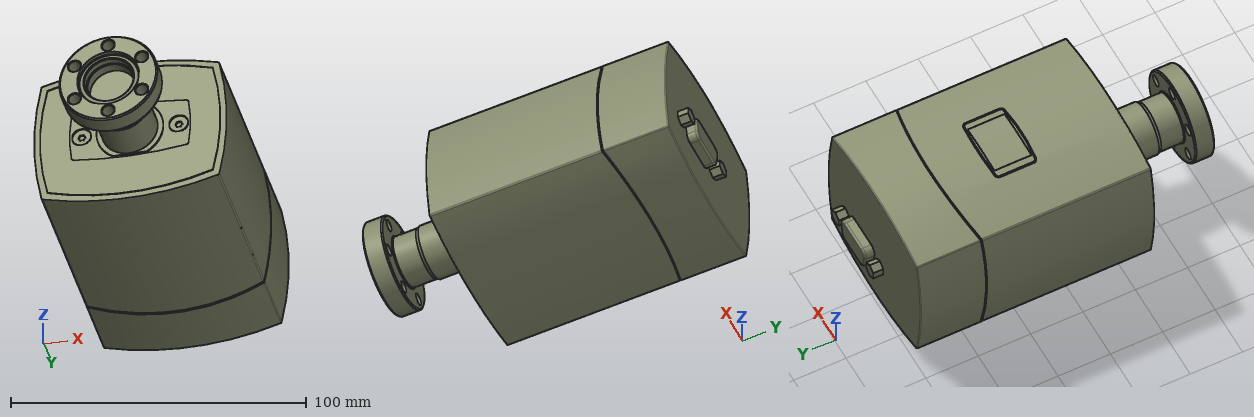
import cadquery as cq
import math

overall_length = 125.1

flange_radius = 17.1
flange_thickness = 7.5
flange_chamfer = 0.5
neck_radius = 9.3
neck_flare = 0.4
tube_radius = 9.8
step_front = 16.4
step_length = 1.1
bolt_count = 6
bolt_hole_diameter = 4.3
bolt_circle_radius = 13.5
bolt_hole_chamfer = 0.3
seal_recess_radius = 10.8
seal_recess_depth = 1.5
knife_base_radius = 10.3
knife_tip_radius = 8.9
knife_height = 0.5
bore_radius = 17.1 / 2
bore_step_depth = 3.8
inner_bore_radius = 16.0 / 2
bore_depth = 7.5

plate_half_width = 21.0
plate_half_height = 10.6
plate_corner_x = 20.3
plate_corner_z = 9.1
plate_corner_fillet = 1.0
plate_thickness = 2.5
collar_radius = 11.6
collar_half_height = 10.0
collar_thickness = 0.4
screw_offset = 16.9
screw_recess_diameter = 6.6
screw_recess_depth = 0.5
socket_across_corners = 2.5
socket_depth = 0.6

shell_front = 31.8
shell_half_width = 33.5
housing_half_height = 27.8
cap_half_height = 28.0
corner_x = 30.9
corner_z = 23.3
housing_corner_fillet = 0.8
cap_corner_fillet = 0.5
panel_inset = 2.1
panel_height = 0.4
panel_front = shell_front - panel_height
cap_back = 121.2
cap_back_fillet = 0.4
seam_middle_y = 100.3
seam_side_y = 96.0
seam_gap_width = 0.4
seam_gap_depth = 0.3

window_half_width = 12.8
window_front = 65.5
window_back = 81.1
window_bow = 0.8
window_corner_fillet = 1.5
window_groove_width = 0.4
window_groove_depth = 0.3
label_half_width = 9.8
label_front = 66.3
label_back = 80.5
label_depth = 0.1

connector_x = 8.4
connector_z = -8.3
connector_width = 18.4
connector_height = 9.5
connector_side_angle = 10.0
connector_corner_fillet = 2.6
connector_edge_fillet = 0.8
jackscrew_spacing = 25.0
jackscrew_across_flats = 5.1


def y_plane(y):
    """Sketch plane across Y facing the flange end; negative extrusions run towards the back."""
    return cq.Workplane(cq.Plane(origin=(0, y, 0), xDir=(1, 0, 0), normal=(0, -1, 0)))


def bowed_outline(y, half_width, half_height, side_x, side_z):
    """Rectangle-like outline with four outward bowed sides, and corners at (side_x, side_z)."""
    return (
        y_plane(y)
        .moveTo(-side_x, side_z)
        .threePointArc((0, half_height), (side_x, side_z))
        .threePointArc((half_width, 0), (side_x, -side_z))
        .threePointArc((0, -half_height), (-side_x, -side_z))
        .threePointArc((-half_width, 0), (-side_x, side_z))
        .close()
    )


def shell_block(half_height, corner_fillet, inset=0):
    """Full-length block from the shell front to the cap back, shrunk all round by inset."""
    block = bowed_outline(
        shell_front, shell_half_width - inset, half_height - inset, corner_x - inset, corner_z - inset
    ).extrude(shell_front - cap_back)
    return block.edges("|Y").fillet(corner_fillet)


def behind_seam(shift=0):
    """Everything behind the curved seam between the housing and the cap, moved along Y by shift."""
    reach = 2 * shell_half_width
    sagitta = seam_middle_y - seam_side_y
    seam_radius = (shell_half_width**2 + sagitta**2) / (2 * sagitta)
    seam_end_y = seam_middle_y - seam_radius + math.sqrt(seam_radius**2 - reach**2)
    return (
        cq.Workplane("XY", origin=(0, shift, -shell_half_width))
        .moveTo(-reach, seam_end_y)
        .threePointArc((0, seam_middle_y), (reach, seam_end_y))
        .lineTo(reach, 2 * overall_length)
        .lineTo(-reach, 2 * overall_length)
        .close()
        .extrude(2 * shell_half_width)
    )


def plate_blank():
    """Solid mounting plate, also the shape of its pocket in the housing."""
    blank = bowed_outline(
        panel_front, plate_half_width, plate_half_height, plate_corner_x, plate_corner_z
    ).extrude(-plate_thickness)
    return blank.edges("|Y").fillet(plate_corner_fillet)


def window_prism(inset):
    half_width = window_half_width - inset
    front = window_front + inset
    back = window_back - inset
    return (
        cq.Workplane("XY")
        .moveTo(-half_width, front)
        .threePointArc((0, front - window_bow), (half_width, front))
        .lineTo(half_width, back)
        .threePointArc((0, back + window_bow), (-half_width, back))
        .close()
        .extrude(shell_half_width)
        .edges("|Z")
        .fillet(window_corner_fillet - inset)
    )


def label_prism():
    return (
        cq.Workplane("XY")
        .center(0, (label_front + label_back) / 2)
        .rect(2 * label_half_width, label_back - label_front)
        .extrude(shell_half_width)
    )


def make_housing():
    block = shell_block(housing_half_height, housing_corner_fillet)
    groove_ring = window_prism(0).cut(window_prism(window_groove_width))
    groove = groove_ring.cut(block.translate((0, 0, -window_groove_depth)))
    label = label_prism().cut(block.translate((0, 0, -label_depth)))
    gap_floor = shell_block(housing_half_height, housing_corner_fillet, seam_gap_depth)
    seam_gap = block.cut(gap_floor).intersect(behind_seam(-seam_gap_width))
    housing = block.cut(groove).cut(label).cut(seam_gap)

    panel = bowed_outline(
        panel_front,
        shell_half_width - panel_inset,
        housing_half_height - panel_inset,
        corner_x - panel_inset,
        corner_z - panel_inset,
    ).extrude(-panel_height)
    return housing.union(panel).cut(behind_seam()).cut(plate_blank())


def make_connector():
    taper = connector_height * math.tan(math.radians(connector_side_angle))
    half_width = connector_width / 2
    half_height = connector_height / 2
    shell = (
        y_plane(cap_back)
        .center(connector_x, connector_z)
        .moveTo(-half_width, half_height)
        .lineTo(half_width, half_height)
        .lineTo(half_width - taper, -half_height)
        .lineTo(-half_width + taper, -half_height)
        .close()
        .extrude(cap_back - overall_length)
        .edges("|Y")
        .fillet(connector_corner_fillet)
    )
    return shell.faces(">Y").edges().fillet(connector_edge_fillet)


def make_jackscrew(x):
    across_corners = jackscrew_across_flats / math.cos(math.radians(30))
    hexagon = cq.Workplane("XY").polygon(6, across_corners).extrude(overall_length - cap_back)
    upright = hexagon.rotate((0, 0, 0), (0, 0, 1), 30).rotate((0, 0, 0), (1, 0, 0), -90)
    return upright.translate((x, cap_back, connector_z))


def make_cap():
    block = shell_block(cap_half_height, cap_corner_fillet)
    cap = block.faces(">Y").edges().fillet(cap_back_fillet).intersect(behind_seam())
    cap = cap.union(make_connector())
    for side in (-1, 1):
        cap = cap.union(make_jackscrew(connector_x + side * jackscrew_spacing / 2))
    return cap


def make_flanged_tube():
    """Flange, stepped tube and blind stepped bore, turned about the Y axis."""
    step_back = step_front + step_length
    knife_tip_depth = seal_recess_depth - knife_height
    lip_chamfer = knife_tip_radius - bore_radius
    profile = [
        (0, bore_depth),
        (inner_bore_radius, bore_depth),
        (inner_bore_radius, bore_step_depth),
        (bore_radius, bore_step_depth),
        (bore_radius, knife_tip_depth + lip_chamfer),
        (knife_tip_radius, knife_tip_depth),
        (knife_base_radius, seal_recess_depth),
        (seal_recess_radius, seal_recess_depth),
        (seal_recess_radius, 0),
        (flange_radius - flange_chamfer, 0),
        (flange_radius, flange_chamfer),
        (flange_radius, flange_thickness - flange_chamfer),
        (flange_radius - flange_chamfer, flange_thickness),
        (neck_radius + neck_flare, flange_thickness),
        (neck_radius, flange_thickness + neck_flare),
        (neck_radius, step_front),
        (tube_radius, step_back),
        (tube_radius, panel_front),
        (0, panel_front),
    ]
    tube = cq.Workplane("XY").polyline(profile).close().revolve(360, (0, 0, 0), (0, 1, 0))
    bolt_hole = y_plane(0).circle(bolt_hole_diameter / 2).extrude(-flange_thickness)
    mouth_radius = bolt_hole_diameter / 2 + bolt_hole_chamfer
    mouth = y_plane(0).circle(mouth_radius).extrude(-bolt_hole_chamfer, taper=45)
    bolt_hole = bolt_hole.union(mouth).translate((0, 0, bolt_circle_radius))
    for i in range(bolt_count):
        tube = tube.cut(bolt_hole.rotate((0, 0, 0), (0, 1, 0), i * 360 / bolt_count))
    return tube


def make_gauge():
    plate = plate_blank()
    screw_points = [(-screw_offset, 0), (screw_offset, 0)]
    recesses = (
        y_plane(panel_front)
        .pushPoints(screw_points)
        .circle(screw_recess_diameter / 2)
        .extrude(-screw_recess_depth)
    )
    sockets = (
        y_plane(panel_front + screw_recess_depth)
        .pushPoints(screw_points)
        .polygon(6, socket_across_corners)
        .extrude(-socket_depth)
    )
    collar_face = y_plane(panel_front)
    collar_disc = collar_face.circle(collar_radius).extrude(collar_thickness)
    collar_flats = collar_face.rect(2 * collar_radius, 2 * collar_half_height).extrude(collar_thickness)
    collar = collar_disc.intersect(collar_flats)
    return plate.cut(recesses).cut(sockets).union(collar).union(make_flanged_tube())


housing = make_housing()
cap = make_cap()
gauge = make_gauge()

result = cq.Compound.makeCompound([housing.val(), cap.val(), gauge.val()])